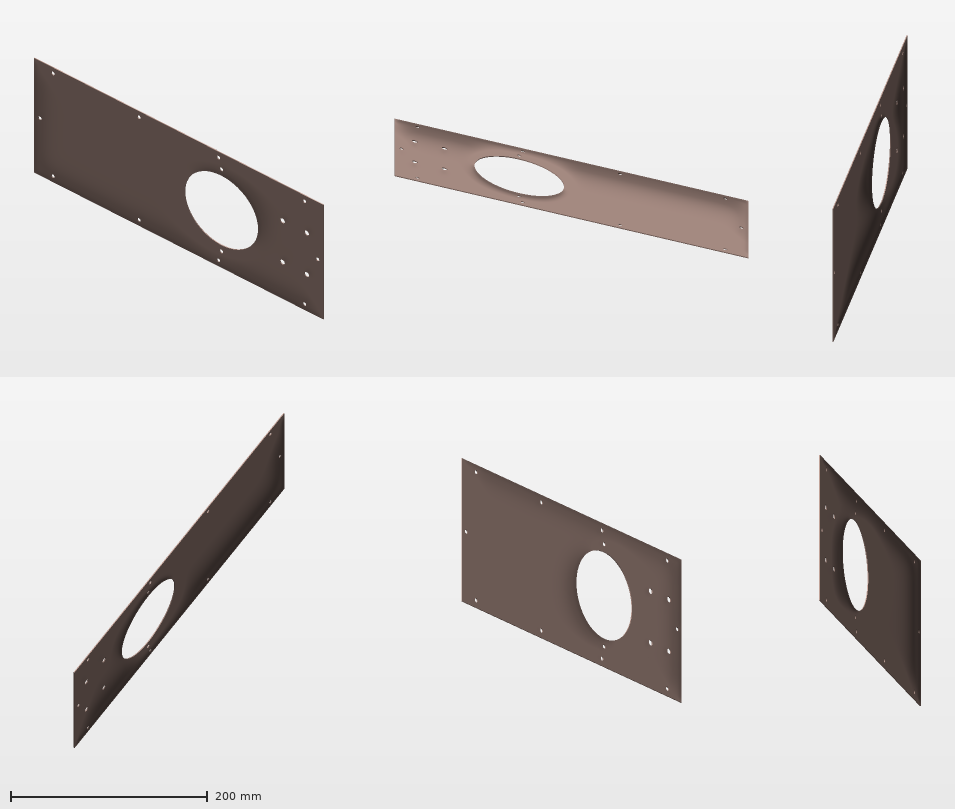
import cadquery as cq

thickness = 1.0
height = 155.0

centre_width = 248.0
bend_width = 2.26
flange_width = 59.0
strip_widths = [flange_width, bend_width, centre_width, bend_width, flange_width]
total_width = sum(strip_widths)

rim_hole_diameter = 4.5
rim_outer_x = 161.26
rim_inner_x = 51.0
rim_z = 69.5
end_hole_x = 178.0

opening_diameter = 94.0
opening_x = 54.7
opening_hole_z = 55.5

flange_hole_diameter = 6.0
flange_hole_inner_x = 133.0
flange_hole_outer_x = 164.0
flange_hole_z = 28.0


def make_sheet():
    """Join the strips, keeping the seams that mark the edges of the bends."""
    sheet = cq.Workplane("XY")
    left = -total_width / 2
    for width in strip_widths:
        strip = cq.Workplane("XY").box(width, thickness, height).translate((left + width / 2, 0, 0))
        sheet = sheet.union(strip, clean=False)
        left += width
    return sheet


def drill(sheet, points, diameter):
    """Cut through-holes along Y at the given (x, z) points."""
    holes = (
        cq.Workplane("XZ")
        .pushPoints(points)
        .circle(diameter / 2)
        .extrude(thickness, both=True)
    )
    return sheet.cut(holes, clean=False)


rim_points = [(x, z) for x in (-rim_outer_x, -rim_inner_x, rim_inner_x, rim_outer_x) for z in (-rim_z, rim_z)]
end_points = [(-end_hole_x, 0), (end_hole_x, 0)]
opening_hole_points = [(opening_x, -opening_hole_z), (opening_x, opening_hole_z)]
flange_points = [
    (x, z) for x in (flange_hole_inner_x, flange_hole_outer_x) for z in (-flange_hole_z, flange_hole_z)
]

result = make_sheet()
result = drill(result, rim_points + end_points + opening_hole_points, rim_hole_diameter)
result = drill(result, [(opening_x, 0)], opening_diameter)
result = drill(result, flange_points, flange_hole_diameter)